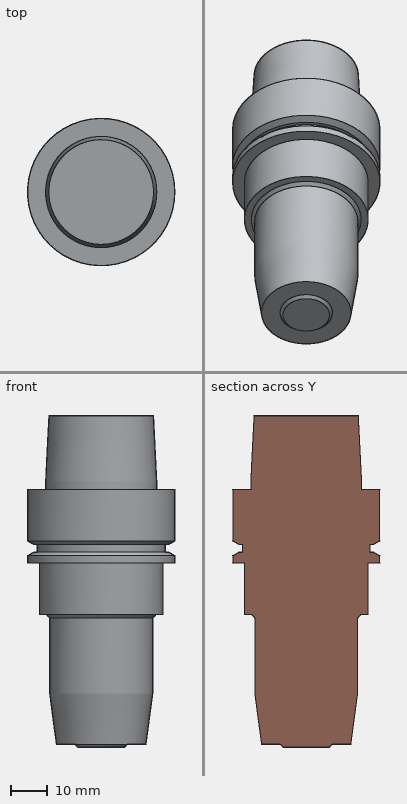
import cadquery as cq
import math

FLANGE_DIAMETER = 40.0
GROOVE_DIAMETER = 34.8
SHANK_BASE_DIAMETER = 30.2
SHANK_TOP_DIAMETER = 28.4
COLLAR_DIAMETER = 33.6
NECK_DIAMETER = 28.0
NOSE_DIAMETER = 24.3
TIP_FACE_DIAMETER = 12.6

TIP_LENGTH = 0.8
NOSE_CONE_LENGTH = 13.8
NECK_LENGTH = 20.5
COLLAR_RELIEF_LENGTH = 0.9
COLLAR_LENGTH = 14.0
FLANGE_RIM_LENGTH = 2.0
GROOVE_FLANK_LENGTH = 1.0
GROOVE_FLOOR_LENGTH = 2.0
FLANGE_BAND_LENGTH = 14.0
SHANK_LAND_LENGTH = 2.0
SHANK_TAPER_LENGTH = 18.0

GROOVE_FLANK_ANGLE = 60.0
GROOVE_FLANK_DEPTH = GROOVE_FLANK_LENGTH * math.tan(math.radians(GROOVE_FLANK_ANGLE))
GROOVE_STEP_DIAMETER = FLANGE_DIAMETER - 2 * GROOVE_FLANK_DEPTH

TIP_ROOT_DIAMETER = TIP_FACE_DIAMETER + 2 * TIP_LENGTH
COLLAR_RELIEF_DIAMETER = NECK_DIAMETER + 2 * COLLAR_RELIEF_LENGTH


def frustum(base_z, length, lower_diameter, upper_diameter):
    """Round section on the Z axis; equal diameters give a cylinder."""
    lower_radius = lower_diameter / 2
    upper_radius = upper_diameter / 2
    profile = (
        cq.Workplane("XZ", origin=(0, 0, base_z))
        .polyline([(0, 0), (lower_radius, 0), (upper_radius, length), (0, length)])
        .close()
    )
    return profile.revolve(360, (0, 0, 0), (0, 1, 0))


nose = [
    (TIP_LENGTH, TIP_FACE_DIAMETER, TIP_ROOT_DIAMETER),
    (NOSE_CONE_LENGTH, NOSE_DIAMETER, NECK_DIAMETER),
    (NECK_LENGTH, NECK_DIAMETER, NECK_DIAMETER),
]
collar = [
    (COLLAR_RELIEF_LENGTH, NECK_DIAMETER, COLLAR_RELIEF_DIAMETER),
    (COLLAR_LENGTH, COLLAR_DIAMETER, COLLAR_DIAMETER),
]
flange = [
    (FLANGE_RIM_LENGTH, FLANGE_DIAMETER, FLANGE_DIAMETER),
    (GROOVE_FLANK_LENGTH, FLANGE_DIAMETER, GROOVE_STEP_DIAMETER),
    (GROOVE_FLOOR_LENGTH, GROOVE_DIAMETER, GROOVE_DIAMETER),
    (GROOVE_FLANK_LENGTH, GROOVE_STEP_DIAMETER, FLANGE_DIAMETER),
    (FLANGE_BAND_LENGTH, FLANGE_DIAMETER, FLANGE_DIAMETER),
]
shank = [
    (SHANK_LAND_LENGTH, SHANK_BASE_DIAMETER, SHANK_BASE_DIAMETER),
    (SHANK_TAPER_LENGTH, SHANK_BASE_DIAMETER, SHANK_TOP_DIAMETER),
]


def stack_sections(sections):
    """Join round sections end to end, starting with the tip face at Z = 0."""
    body = cq.Workplane("XY")
    base_z = 0
    for length, lower_diameter, upper_diameter in sections:
        body = body.union(frustum(base_z, length, lower_diameter, upper_diameter))
        base_z += length
    return body


result = stack_sections(nose + collar + flange + shank)